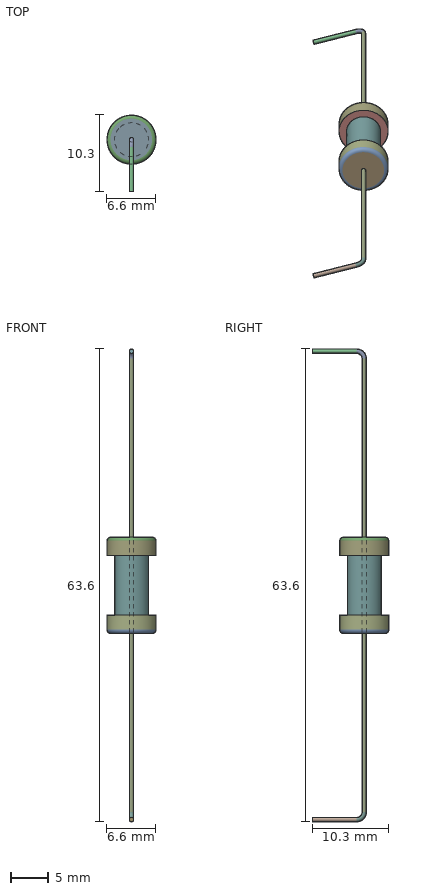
import cadquery as cq

lead_span = 63.6
lead_diameter = 0.6
lead_reach = 7.0
bend_radius = 1.0

body_height = 13.0
cap_diameter = 6.6
cap_height = 2.5
cap_fillet = 0.5
core_diameter = 4.6


def make_lead():
    """One round wire along Z, with both ends bent toward -Y."""
    end_height = (lead_span - lead_diameter) / 2
    bend_start = end_height - bend_radius
    path = (
        cq.Workplane("YZ")
        .moveTo(-lead_reach, -end_height)
        .lineTo(-bend_radius, -end_height)
        .radiusArc((0, -bend_start), -bend_radius)
        .lineTo(0, bend_start)
        .radiusArc((-bend_radius, end_height), -bend_radius)
        .lineTo(-lead_reach, end_height)
    )
    return (
        cq.Workplane("XZ", origin=(0, -lead_reach, -end_height))
        .circle(lead_diameter / 2)
        .sweep(path)
    )


def make_cap():
    """Upper cap, with its outer rim rounded."""
    return (
        cq.Workplane("XY")
        .workplane(offset=body_height / 2 - cap_height)
        .circle(cap_diameter / 2)
        .extrude(cap_height)
        .faces(">Z")
        .edges()
        .fillet(cap_fillet)
    )


def make_body():
    """Core with a cap at each end and an axial bore for the lead."""
    core_height = body_height - 2 * cap_height
    core = cq.Workplane("XY").circle(core_diameter / 2).extrude(core_height / 2, both=True)
    upper_cap = make_cap()
    lower_cap = upper_cap.mirror("XY")
    bore = cq.Workplane("XY").circle(lead_diameter / 2).extrude(body_height / 2, both=True)
    return core.union(upper_cap).union(lower_cap).cut(bore)


body = make_body()
lead = make_lead()

result = cq.Compound.makeCompound([body.solids().val(), lead.val()])